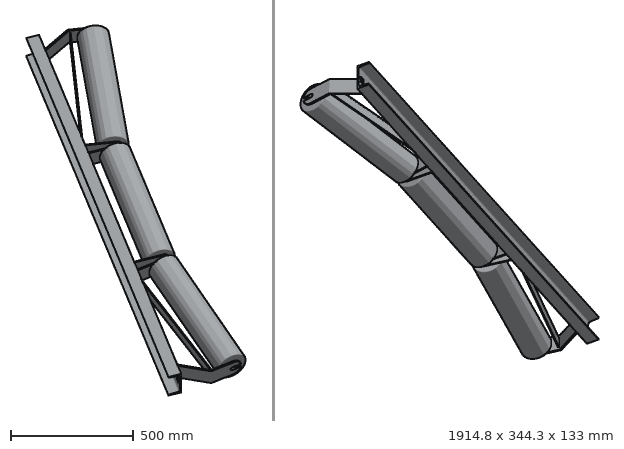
import cadquery as cq
import math


channel_length = 1900.0
channel_height = 120.0
channel_depth = 55.0
web_thickness = 7.0
flange_thickness = 9.0
flange_slope = 0.08
root_radius = 9.0
toe_radius = 4.5
mount_window_x = 922.0
mount_window_width = 24.0
mount_window_height = 26.0

roller_diameter = 133.0
roller_length = 600.0
trough_angle = 10.0
overall_height = 344.3
center_gap = 18.0
wing_gap = 18.0
shaft_width = 18.0
shaft_height = 24.0
rim_radius = 4.0

bracket_width = 75.0
knee_plate = 6.0
knee_spread = 9.0
knee_crown = 31.0

end_plate = 8.0
end_clearance = 6.0
end_bend_radius = 16.0
end_reach = 957.4
leg_angle = 30.0

brace_width = 50.0
brace_thickness = 5.0
brace_angle = 13.0
brace_start_height = 191.0

roller_radius = roller_diameter / 2
tilt = math.radians(trough_angle)
tilt_sin = math.sin(tilt)
tilt_cos = math.cos(tilt)
knee_x = roller_length / 2 + center_gap
wing_end = wing_gap + roller_length
rim_rise = (wing_end - rim_radius) * tilt_sin + (roller_radius - rim_radius) * tilt_cos + rim_radius
axis_height = overall_height - rim_rise


def wing_point(along, up):
    """Point of the right wing: `along` the wing axis from the knee, `up` square to that axis."""
    x = knee_x + along * tilt_cos - up * tilt_sin
    y = axis_height + along * tilt_sin + up * tilt_cos
    return (x, y)


def height_on_wing(along, y):
    """Distance square to the wing axis at which the station `along` has height y."""
    return (y - axis_height - along * tilt_sin) / tilt_cos


def place_on_wing(body):
    """Move a body built about the X axis, starting at the origin, onto the right wing axis."""
    return body.rotate((0, 0, 0), (0, 0, 1), trough_angle).translate((knee_x, axis_height, 0))


def extrude_strip(outline):
    """Bracket body from a closed outline in XY, centred on Z = 0."""
    return outline.close().extrude(bracket_width / 2, both=True)


def edges_near(y, half_span):
    """Selector for edges along the channel close to height y, within half_span of Z = 0."""
    margin = 1.0
    return cq.selectors.BoxSelector(
        (-channel_length, y - margin, -half_span - margin),
        (channel_length, y + margin, half_span + margin),
    )


def make_channel():
    half = channel_height / 2
    rise = flange_slope * channel_depth / 2
    toe_z = half - (flange_thickness - rise)
    root_z = half - (flange_thickness + rise - flange_slope * web_thickness)
    web_y = channel_depth - web_thickness
    outline = [
        (0, half), (channel_depth, half), (channel_depth, -half), (0, -half),
        (0, -toe_z), (web_y, -root_z), (web_y, root_z), (0, toe_z),
    ]
    body = (
        cq.Workplane("YZ").polyline(outline).close()
        .extrude(channel_length / 2, both=True)
    )
    body = body.edges("|X").edges(edges_near(web_y, root_z)).fillet(root_radius)
    body = body.edges("|X").edges(edges_near(0, toe_z)).fillet(toe_radius)
    windows = (
        cq.Workplane("XZ").pushPoints([(-mount_window_x, 0), (mount_window_x, 0)])
        .rect(mount_window_width, mount_window_height)
        .extrude(-channel_depth)
    )
    return body.cut(windows)


def shaft_bar(start, length):
    """Bar along X with rounded edges towards +Y and -Y, the section of every roller shaft."""
    section = cq.Workplane("YZ").workplane(offset=start)
    return section.slot2D(shaft_height, shaft_width).extrude(length)


def shaft_slot(start, length):
    """Cutter along X that seats a shaft and opens upwards (+Y)."""
    section = cq.Workplane("YZ").workplane(offset=start)
    throat = section.center(bracket_width / 2, 0).rect(bracket_width, shaft_width).extrude(length)
    return shaft_bar(start, length).union(throat)


def make_roller(shaft_start, shaft_end):
    """Drum along X from X = 0 to its length, with a shaft standing out at both ends."""
    drum = cq.Workplane("YZ").circle(roller_radius).extrude(roller_length)
    drum = drum.edges().fillet(rim_radius)
    return drum.union(shaft_bar(-shaft_start, roller_length + shaft_start + shaft_end))


def make_knee_bracket():
    """Strip folded over the right knee: an upright leg, a bend and a leg square to the wing."""
    near = knee_spread
    far = near + knee_plate
    bisector = tilt / 2
    rise = (knee_crown - far) / (1 - math.sin(bisector))
    center_x = knee_x - rise * math.sin(bisector)
    center_y = axis_height + rise * math.cos(bisector)

    def on_bend(radius, angle):
        return (center_x + radius * math.cos(angle), center_y + radius * math.sin(angle))

    inner_radius = near - rise * math.sin(bisector)
    outer_radius = inner_radius + knee_plate
    top_angle = math.pi / 2 + bisector
    outline = (
        cq.Workplane("XY")
        .moveTo(knee_x - far, channel_depth)
        .lineTo(*on_bend(outer_radius, math.pi))
        .threePointArc(on_bend(outer_radius, top_angle), on_bend(outer_radius, tilt))
        .lineTo(*wing_point(far, height_on_wing(far, channel_depth)))
        .lineTo(*wing_point(near, height_on_wing(near, channel_depth)))
        .lineTo(*on_bend(inner_radius, tilt))
        .threePointArc(on_bend(inner_radius, top_angle), on_bend(inner_radius, math.pi))
        .lineTo(knee_x - near, channel_depth)
    )
    strip = extrude_strip(outline)
    level_slot = shaft_slot(-far, far).translate((knee_x, axis_height, 0))
    wing_slot = place_on_wing(shaft_slot(0, far))
    return strip.cut(level_slot).cut(wing_slot)


upright_inner = wing_end + end_clearance
upright_outer = upright_inner + end_plate


def make_end_bracket():
    """Right end bracket: an upright square to the wing axis, bent inwards down to the channel."""
    leg = math.radians(leg_angle)
    bend_station = upright_outer - end_bend_radius
    bend_x = end_reach - end_bend_radius
    bend_up = (knee_x + bend_station * tilt_cos - bend_x) / tilt_sin
    bend_y = wing_point(bend_station, bend_up)[1]
    inner_radius = end_bend_radius - end_plate

    def on_bend(radius, angle):
        return (bend_x + radius * math.cos(angle), bend_y + radius * math.sin(angle))

    def foot(radius):
        x, y = on_bend(radius, -leg)
        return (x - (y - channel_depth) * math.tan(leg), channel_depth)

    middle = (tilt - leg) / 2
    top_up = bracket_width / 2
    outline = (
        cq.Workplane("XY")
        .moveTo(*wing_point(upright_outer, top_up))
        .lineTo(*on_bend(end_bend_radius, tilt))
        .threePointArc(on_bend(end_bend_radius, middle), on_bend(end_bend_radius, -leg))
        .lineTo(*foot(end_bend_radius))
        .lineTo(*foot(inner_radius))
        .lineTo(*on_bend(inner_radius, -leg))
        .threePointArc(on_bend(inner_radius, middle), on_bend(inner_radius, tilt))
        .lineTo(*wing_point(upright_inner, top_up))
    )
    strip = extrude_strip(outline)
    section = cq.Workplane("YZ").workplane(offset=upright_inner)
    upper_half = section.center(top_up / 2, 0).rect(top_up, bracket_width).extrude(end_plate)
    corners = upper_half.cut(section.circle(bracket_width / 2).extrude(end_plate))
    slot = shaft_slot(upright_inner, end_plate)
    return strip.cut(place_on_wing(corners)).cut(place_on_wing(slot))


def make_brace():
    """Flat strip running down from the right end bracket's upright to the channel."""
    slope = math.tan(math.radians(brace_angle))
    drop = brace_thickness / math.cos(math.radians(brace_angle))
    top_x, top_y = wing_point(upright_inner, height_on_wing(upright_inner, brace_start_height))
    step = drop / (1 + slope * math.tan(tilt))
    bottom_start = (top_x + step * math.tan(tilt), top_y - step)
    top_foot_x = top_x - (top_y - channel_depth) / slope
    return (
        cq.Workplane("XY")
        .polyline([
            (top_x, top_y), bottom_start,
            (top_foot_x + drop / slope, channel_depth), (top_foot_x, channel_depth),
        ])
        .close()
        .extrude(brace_width / 2, both=True)
    )


channel = make_channel()
center_shaft_end = center_gap - knee_spread
wing_shaft_start = wing_gap - knee_spread
wing_shaft_end = end_clearance + end_plate
center_roller = make_roller(center_shaft_end, center_shaft_end).translate(
    (-roller_length / 2, axis_height, 0)
)
wing_roller = place_on_wing(
    make_roller(wing_shaft_start, wing_shaft_end).translate((wing_gap, 0, 0))
)
bodies = [channel.val(), center_roller.val()]
for body in (wing_roller, make_knee_bracket(), make_end_bracket(), make_brace()):
    bodies.append(body.val())
    bodies.append(body.mirror("YZ").val())
result = cq.Compound.makeCompound(bodies)